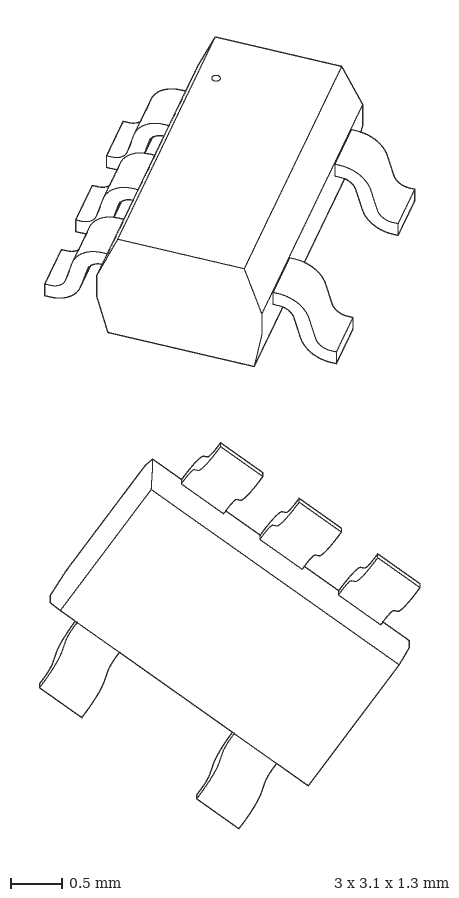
import cadquery as cq
import math

overall_x = 3.0
housing_length = 3.1
housing_width = 1.7
housing_height = 1.3
belt_bottom = 0.505
belt_top = 0.795
top_inset_x = 0.198
bottom_inset_x = 0.095
end_inset_y = 0.053

lead_pitch = 0.95
lead_width = 0.51
lead_thickness = 0.16
shoulder_top = 0.77
lead_slope = math.radians(15)
inner_bend_radius = lead_thickness
bend_radius = inner_bend_radius + lead_thickness / 2
lead_reach = (overall_x - housing_width) / 2
left_lead_rows = (-1, 0, 1)
right_lead_rows = (-1, 1)

mark_diameter = 0.085
mark_depth = 0.02
mark_x = -0.46
mark_y = lead_pitch


def tapered_block(start_z, end_z, inset_x):
    """Loft from the full belt outline to a smaller outline at end_z."""
    return (
        cq.Workplane("XY")
        .workplane(offset=start_z)
        .rect(housing_width, housing_length)
        .workplane(offset=end_z - start_z)
        .rect(housing_width - 2 * inset_x, housing_length - 2 * end_inset_y)
        .loft(ruled=True)
    )


def make_mark():
    return (
        cq.Workplane("XY")
        .workplane(offset=housing_height - mark_depth)
        .center(mark_x, mark_y)
        .circle(mark_diameter / 2)
        .extrude(mark_depth)
    )


def make_housing(mark):
    belt = (
        cq.Workplane("XY")
        .workplane(offset=belt_bottom)
        .rect(housing_width, housing_length)
        .extrude(belt_top - belt_bottom)
    )
    upper = tapered_block(belt_top, housing_height, top_inset_x)
    lower = tapered_block(belt_bottom, 0, bottom_inset_x)
    return belt.union(upper).union(lower).cut(mark)


def make_left_lead():
    """Lead on the -X side, centred on Y = 0, swept along its mid-thickness line."""
    foot_z = lead_thickness / 2
    shoulder_z = shoulder_top - lead_thickness / 2
    bend_angle = math.pi / 2 - lead_slope
    bend_run = bend_radius * math.sin(bend_angle)
    bend_rise = bend_radius * (1 - math.cos(bend_angle))
    half_bend_run = bend_radius * math.sin(bend_angle / 2)
    half_bend_rise = bend_radius * (1 - math.cos(bend_angle / 2))

    leg_rise = shoulder_z - foot_z - 2 * bend_rise
    leg_run = leg_rise * math.tan(lead_slope)
    flat_length = (lead_reach - 2 * bend_run - leg_run) / 2

    tip_x = -overall_x / 2
    wall_x = -housing_width / 2
    foot_end = tip_x + flat_length
    shoulder_start = wall_x - flat_length

    centre_line = (
        cq.Workplane("XZ")
        .moveTo(tip_x, foot_z)
        .lineTo(foot_end, foot_z)
        .threePointArc(
            (foot_end + half_bend_run, foot_z + half_bend_rise),
            (foot_end + bend_run, foot_z + bend_rise),
        )
        .lineTo(shoulder_start - bend_run, shoulder_z - bend_rise)
        .threePointArc(
            (shoulder_start - half_bend_run, shoulder_z - half_bend_rise),
            (shoulder_start, shoulder_z),
        )
        .lineTo(wall_x, shoulder_z)
    )
    return (
        cq.Workplane("YZ", origin=(tip_x, 0, foot_z))
        .rect(lead_width, lead_thickness)
        .sweep(centre_line)
    )


mark = make_mark()
housing = make_housing(mark)

left_lead = make_left_lead()
right_lead = left_lead.mirror("YZ")
leads = []
for lead, rows in ((left_lead, left_lead_rows), (right_lead, right_lead_rows)):
    for row in rows:
        leads.append(lead.translate((0, row * lead_pitch, 0)).val())

result = cq.Compound.makeCompound([housing.val(), mark.val(), *leads])